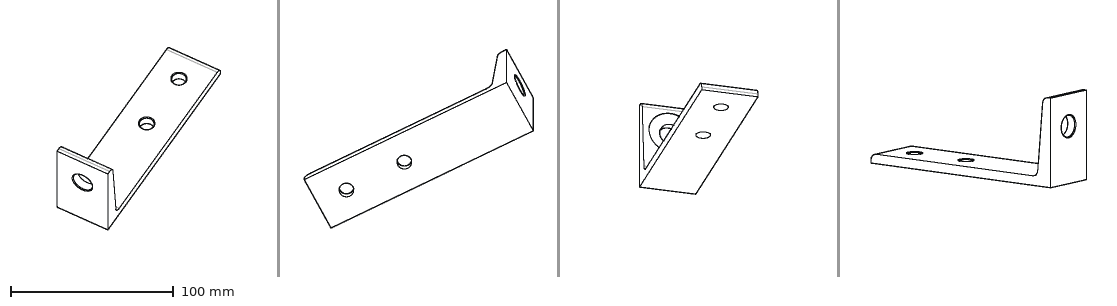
import cadquery as cq
import math

width = 36.0
length = 140.0
height = 56.0

thickness = 6.0
taper_angle = 5.0
edge_radius = 4.0

foot_hole_diameter = 9.0
foot_hole_end_distance = 20.0
foot_hole_spacing = 40.0
upright_hole_diameter = 13.5
upright_hole_top_distance = 20.0
spotface_diameter = 28.0
spotface_floor = thickness
hole_chamfer = 0.5

root_thickness = thickness + (height - thickness) * math.tan(math.radians(taper_angle))


def make_bracket_body():
    """Extrude the L section across the width, centred on X = 0."""
    outline = [
        (0, 0),
        (length, 0),
        (length, thickness),
        (root_thickness, thickness),
        (thickness, height),
        (0, height),
    ]
    body = cq.Workplane("YZ").polyline(outline).close().extrude(width / 2, both=True)
    rounded_corners = [(length, thickness), (root_thickness, thickness), (thickness, height)]
    for y, z in rounded_corners:
        body = body.edges(cq.selectors.NearestToPointSelector((0, y, z))).fillet(edge_radius)
    return body


def make_hole_cutter(diameter, depth, entry, direction):
    """Round cutter running from entry along direction, with a chamfered mouth."""
    bore = cq.Solid.makeCylinder(diameter / 2, depth, entry, direction)
    mouth = cq.Solid.makeCone(
        diameter / 2 + hole_chamfer, diameter / 2, hole_chamfer, entry, direction
    )
    return bore.fuse(mouth)


result = make_bracket_body()

for index in range(2):
    hole_y = length - foot_hole_end_distance - index * foot_hole_spacing
    foot_entry = cq.Vector(0, hole_y, thickness)
    result = result.cut(
        make_hole_cutter(foot_hole_diameter, thickness, foot_entry, cq.Vector(0, 0, -1))
    )

inward = cq.Vector(0, 1, 0)
upright_hole_z = height - upright_hole_top_distance
upright_entry = cq.Vector(0, 0, upright_hole_z)
result = result.cut(
    make_hole_cutter(upright_hole_diameter, root_thickness, upright_entry, inward)
)

spotface_center = cq.Vector(0, spotface_floor, upright_hole_z)
result = result.cut(
    cq.Solid.makeCylinder(spotface_diameter / 2, root_thickness, spotface_center, inward)
)